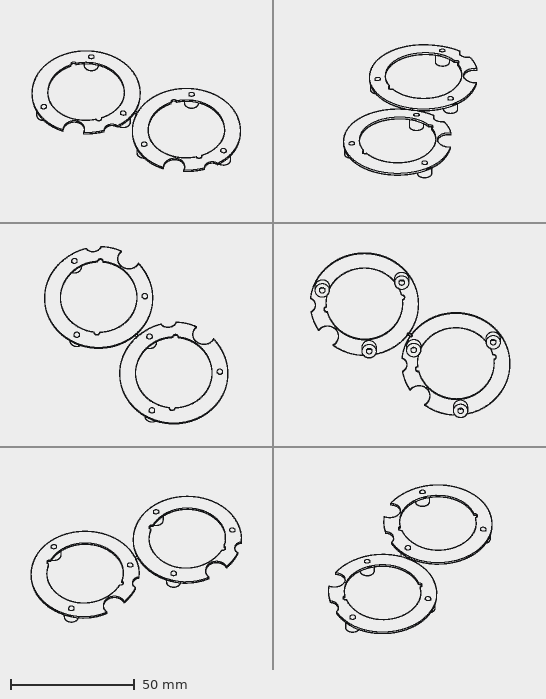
import math

import cadquery as cq

OUTER_RADIUS = 21.9
INNER_RADIUS = 15.45
RING_PITCH = 45.0
RING_COUNT = 2
RING_THICKNESS = 1.0

CREST_HEIGHT = 6.68
CREST_ANGLE = 303.5
OUTER_BASE_HEIGHT = 5.15
INNER_BASE_HEIGHT = 5.74
OUTER_SWELL_HALF_WIDTH = 65.0
INNER_SWELL_HALF_WIDTH = 89.0
EDGE_POINT_COUNT = 48

POST_DIAMETER = 5.8
POST_HOLE_DIAMETER = 2.25
POST_CIRCLE_RADIUS = 18.65
POST_COUNT = 3
FIRST_POST_ANGLE = 109.3

LARGE_RIM_NOTCH = (20.5, -78.4, 4.35)
SMALL_RIM_NOTCH = (23.2, -36.9, 3.4)
BORE_NOTCH_DISTANCE = 15.4
BORE_NOTCH_RADIUS = 1.125
BORE_NOTCH_ANGLES = (135.0, -45.0)

PIN_DIAMETER = 1.0
PIN_Y = -0.25
PIN_EMBED = 0.5

TOOL_HEIGHT = 2 * CREST_HEIGHT


def edge_height(angle, base_height, half_width):
    """Top height of a rim: the base height plus a raised-cosine swell at the crest."""
    offset = (angle - CREST_ANGLE + 180.0) % 360.0 - 180.0
    if abs(offset) >= half_width:
        return base_height
    swell = math.cos(math.radians(90.0 * offset / half_width)) ** 2
    return base_height + (CREST_HEIGHT - base_height) * swell


def rim_curve(radius, base_height, half_width, drop):
    """Closed wavy curve on a cylinder, lowered by drop below the top surface."""
    points = []
    for i in range(EDGE_POINT_COUNT):
        angle = CREST_ANGLE + 360.0 * i / EDGE_POINT_COUNT
        x = radius * math.cos(math.radians(angle))
        y = radius * math.sin(math.radians(angle))
        points.append(cq.Vector(x, y, edge_height(angle, base_height, half_width) - drop))
    return cq.Edge.makeSpline(points, periodic=True)


def warped_ring(top_drop, bottom_drop):
    """Ring between two copies of the warped top surface, lowered by the given drops."""
    outer_rim = (OUTER_RADIUS, OUTER_BASE_HEIGHT, OUTER_SWELL_HALF_WIDTH)
    inner_rim = (INNER_RADIUS, INNER_BASE_HEIGHT, INNER_SWELL_HALF_WIDTH)
    outer_top = rim_curve(*outer_rim, top_drop)
    outer_bottom = rim_curve(*outer_rim, bottom_drop)
    inner_top = rim_curve(*inner_rim, top_drop)
    inner_bottom = rim_curve(*inner_rim, bottom_drop)
    borders = [
        (inner_top, outer_top),
        (outer_top, outer_bottom),
        (outer_bottom, inner_bottom),
        (inner_bottom, inner_top),
    ]
    faces = [cq.Face.makeRuledSurface(first, second) for first, second in borders]
    solid = cq.Solid.makeSolid(cq.Shell.makeShell(faces))
    return cq.Workplane(obj=solid.fix())


def upright_cylinder(distance, angle, radius):
    """Cylinder standing on the base plane at a polar position about the ring centre."""
    x = distance * math.cos(math.radians(angle))
    y = distance * math.sin(math.radians(angle))
    return cq.Workplane("XY").center(x, y).circle(radius).extrude(TOOL_HEIGHT)


def post_angles():
    """Evenly spaced directions of the posts about the ring centre."""
    return [FIRST_POST_ANGLE + 360.0 * i / POST_COUNT for i in range(POST_COUNT)]


def add_posts(ring):
    """Posts rise from the base plane and end inside the ring, halfway through its thickness."""
    space_below_middle = warped_ring(RING_THICKNESS / 2, CREST_HEIGHT + RING_THICKNESS)
    for angle in post_angles():
        post = upright_cylinder(POST_CIRCLE_RADIUS, angle, POST_DIAMETER / 2)
        ring = ring.union(post.intersect(space_below_middle))
    return ring


def cut_openings(ring):
    """Screw holes through the posts and round notches in both rims."""
    openings = [LARGE_RIM_NOTCH, SMALL_RIM_NOTCH]
    openings += [(BORE_NOTCH_DISTANCE, angle, BORE_NOTCH_RADIUS) for angle in BORE_NOTCH_ANGLES]
    openings += [(POST_CIRCLE_RADIUS, angle, POST_HOLE_DIAMETER / 2) for angle in post_angles()]
    for distance, angle, radius in openings:
        ring = ring.cut(upright_cylinder(distance, angle, radius))
    return ring


def joining_pin():
    """Pin along X bridging the gap from the first ring to the next."""
    gap = RING_PITCH - 2 * OUTER_RADIUS
    pin_height = OUTER_BASE_HEIGHT - RING_THICKNESS / 2
    pin = cq.Workplane("YZ", origin=(OUTER_RADIUS - PIN_EMBED, PIN_Y, pin_height))
    return pin.circle(PIN_DIAMETER / 2).extrude(gap + 2 * PIN_EMBED)


single_ring = cut_openings(add_posts(warped_ring(0, RING_THICKNESS)))

result = single_ring
for index in range(1, RING_COUNT):
    shift = index * RING_PITCH
    result = result.union(joining_pin().translate((shift - RING_PITCH, 0, 0)))
    result = result.union(single_ring.translate((shift, 0, 0)))